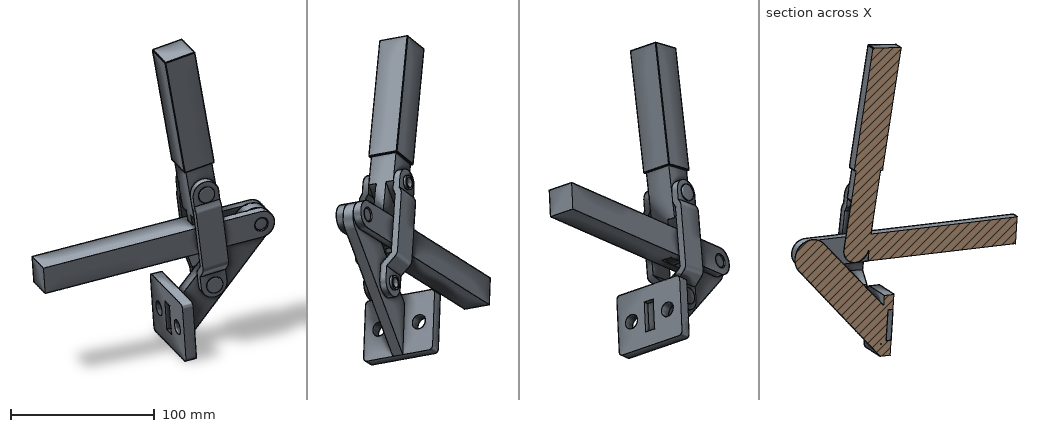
import cadquery as cq
import math


BASE_TILT = 3.85
LINK_TILT = 6.75
HANDLE_TILT = 9.5

PLATE_WIDTH = 56.0
PLATE_HEIGHT = 45.0
PLATE_THICKNESS = 8.0
PLATE_CORNER_RADIUS = 3.0
PLATE_BACK_Y = -62.5
PLATE_BOTTOM_Z = -81.7
MOUNT_HOLE_DIAMETER = 10.5
MOUNT_HOLE_SPACING = 32.0
SLOT_LENGTH = 22.5
SLOT_DEPTH = 4.0
WEB_THICKNESS = 8.0
WEB_NOSE_RADIUS = 13.0
WEB_NOSE_Y = -2.5
WEB_NOSE_Z = -2.2
WEB_EDGE_ANGLE = 45.0
LINK_PIVOT_Y = -38.0
LINK_PIVOT_Z = -37.6

BAR_SIZE = 20.0
ARM_LENGTH = 165.0
ARM_SLOT_LENGTH = 48.0
PIN_RECESS_RADIUS = 5.2
PIN_RADIUS = 4.5
PIN_RECESS_DEPTH = 0.7

LINK_LENGTH = 75.0
STRAP_WIDTH = 19.5
STRAP_THICKNESS = 5.0
STRAP_MIDDLE_X = 12.0
STRAP_LOWER_BEND = 9.0
STRAP_UPPER_BEND = 7.0
LOWER_BEND_ANGLE = 45.0
UPPER_BEND_ANGLE = 30.0
BEND_OUTER_RADIUS = 6.0

RIVET_RADIUS = 5.0
RIVET_PROJECTION = 2.0
RIVET_CONE_RADIUS = 3.6
RIVET_CONE_DEPTH = 3.6
RIVET_HEAD_RADIUS = 6.0
RIVET_HEAD_ROUNDING = 0.7

SHOULDER_FRONT_DROP = 18.7
SHOULDER_BACK_DROP = 2.0
GRIP_START = 19.7
GRIP_LENGTH = 90.0
GRIP_SIZE = 23.0
GRIP_CHAMFER = 0.5
TONGUE_THICKNESS = WEB_THICKNESS


def tilt(body, angle):
    """Turn a body nose-down about the X axis through the origin."""
    return body.rotate((0, 0, 0), (1, 0, 0), angle)


def tilted_point(y, z, angle):
    """World (y, z) of a point given in a tilted frame."""
    a = math.radians(angle)
    return y * math.cos(a) - z * math.sin(a), y * math.sin(a) + z * math.cos(a)


def block(width, y_min, y_max, z_min, z_max):
    """Box centred on X = 0."""
    return (
        cq.Workplane("XY")
        .box(width, y_max - y_min, z_max - z_min, centered=(True, False, False))
        .translate((0, y_min, z_min))
    )


def cylinder(radius, x_min, x_max, y=0.0, z=0.0):
    """Cylinder along X."""
    return cq.Workplane("YZ", origin=(x_min, 0, 0)).center(y, z).circle(radius).extrude(x_max - x_min)


def cone(radius_start, radius_end, x_start, depth):
    """Cone or frustum along X about the origin axis; depth may be negative."""
    axis = cq.Vector(math.copysign(1, depth), 0, 0)
    solid = cq.Solid.makeCone(radius_start, radius_end, abs(depth), cq.Vector(x_start, 0, 0), axis)
    return cq.Workplane(obj=solid)


def make_plate():
    """Flange plate with two mounting holes and a blind slot in its front face."""
    center_z = PLATE_BOTTOM_Z + PLATE_HEIGHT / 2
    front_y = PLATE_BACK_Y - PLATE_THICKNESS
    plate = block(PLATE_WIDTH, front_y, PLATE_BACK_Y, PLATE_BOTTOM_Z, PLATE_BOTTOM_Z + PLATE_HEIGHT)
    plate = plate.edges("|Y").fillet(PLATE_CORNER_RADIUS)
    holes = (
        cq.Workplane("XZ", origin=(0, PLATE_BACK_Y, center_z))
        .pushPoints([(-MOUNT_HOLE_SPACING / 2, 0), (MOUNT_HOLE_SPACING / 2, 0)])
        .circle(MOUNT_HOLE_DIAMETER / 2)
        .extrude(PLATE_THICKNESS)
    )
    slot = block(
        WEB_THICKNESS, front_y, front_y + SLOT_DEPTH, center_z - SLOT_LENGTH / 2, center_z + SLOT_LENGTH / 2
    )
    return plate.cut(holes).cut(slot)


def make_web():
    """Slanted band with a round nose at the rear, ending on the back of the plate."""
    a = math.radians(WEB_EDGE_ANGLE)
    offset_y = WEB_NOSE_RADIUS * math.sin(a)
    offset_z = WEB_NOSE_RADIUS * math.cos(a)
    top = (WEB_NOSE_Y - offset_y, WEB_NOSE_Z + offset_z)
    bottom = (WEB_NOSE_Y + offset_y, WEB_NOSE_Z - offset_z)
    nose = (WEB_NOSE_Y + WEB_NOSE_RADIUS * math.cos(a), WEB_NOSE_Z + WEB_NOSE_RADIUS * math.sin(a))
    plate_top_z = top[1] + (PLATE_BACK_Y - top[0]) * math.tan(a)
    return (
        cq.Workplane("YZ", origin=(-WEB_THICKNESS / 2, 0, 0))
        .moveTo(*top)
        .threePointArc(nose, bottom)
        .lineTo(PLATE_BACK_Y, PLATE_BOTTOM_Z)
        .lineTo(PLATE_BACK_Y, plate_top_z)
        .close()
        .extrude(WEB_THICKNESS)
    )


def make_arm():
    """Square arm with a round rear end, forked to take the web and the handle tongue."""
    half = BAR_SIZE / 2
    arm = block(BAR_SIZE, -ARM_LENGTH, 0, -half, half).union(cylinder(half, -half, half))
    arm = arm.cut(block(TONGUE_THICKNESS, -ARM_SLOT_LENGTH, half, -half, half))
    for side in (-1, 1):
        arm = arm.cut(cone(PIN_RECESS_RADIUS, PIN_RADIUS, side * half, -side * PIN_RECESS_DEPTH))
    return arm


def make_handle():
    """Handle in its own upright frame, with the upper pivot at the origin."""
    half = BAR_SIZE / 2
    bar = (
        cq.Workplane("YZ", origin=(-half, 0, 0))
        .moveTo(-half, GRIP_START)
        .lineTo(-half, -SHOULDER_FRONT_DROP)
        .lineTo(half, -SHOULDER_BACK_DROP)
        .lineTo(half, GRIP_START)
        .close()
        .extrude(BAR_SIZE)
    )
    grip = block(GRIP_SIZE, -GRIP_SIZE / 2, GRIP_SIZE / 2, GRIP_START, GRIP_START + GRIP_LENGTH)
    grip = grip.edges().chamfer(GRIP_CHAMFER)
    return bar.union(grip)


def make_tongue(drop):
    """Tongue down from the upper pivot, rounded about a point on the arm's centre line."""
    half = BAR_SIZE / 2
    straight = block(TONGUE_THICKNESS, -half, half, -drop, 0)
    return straight.union(cylinder(half, -TONGUE_THICKNESS / 2, TONGUE_THICKNESS / 2, 0, -drop))


def make_strap():
    """Strap on the +X side, in its own upright frame with the lower pivot at the origin."""
    half = STRAP_WIDTH / 2
    lower_x = WEB_THICKNESS / 2
    upper_x = BAR_SIZE / 2
    outer_x = STRAP_MIDDLE_X + STRAP_THICKNESS
    lower_slope = math.tan(math.radians(LOWER_BEND_ANGLE))
    upper_slope = math.tan(math.radians(UPPER_BEND_ANGLE))
    lower_shift = STRAP_THICKNESS * math.tan(math.radians(LOWER_BEND_ANGLE / 2))
    upper_shift = STRAP_THICKNESS * math.tan(math.radians(UPPER_BEND_ANGLE / 2))
    lower_outer_z = STRAP_LOWER_BEND + (STRAP_MIDDLE_X - lower_x) / lower_slope
    upper_bend_z = LINK_LENGTH - STRAP_UPPER_BEND
    upper_outer_z = upper_bend_z - (STRAP_MIDDLE_X - upper_x) / upper_slope
    profile = (
        cq.Workplane("XZ", origin=(0, half, 0))
        .moveTo(lower_x, -half)
        .lineTo(lower_x + STRAP_THICKNESS, -half)
        .lineTo(lower_x + STRAP_THICKNESS, STRAP_LOWER_BEND)
        .lineTo(outer_x, lower_outer_z)
        .lineTo(outer_x, upper_outer_z)
        .lineTo(upper_x + STRAP_THICKNESS, upper_bend_z)
        .lineTo(upper_x + STRAP_THICKNESS, LINK_LENGTH + half)
        .lineTo(upper_x, LINK_LENGTH + half)
        .lineTo(upper_x, upper_bend_z - upper_shift)
        .lineTo(STRAP_MIDDLE_X, upper_outer_z - upper_shift)
        .lineTo(STRAP_MIDDLE_X, lower_outer_z + lower_shift)
        .lineTo(lower_x, STRAP_LOWER_BEND + lower_shift)
        .close()
    )
    strap = profile.extrude(STRAP_WIDTH)
    for bend_z in (lower_outer_z, upper_outer_z):
        bend_edge = cq.selectors.NearestToPointSelector((outer_x, 0, bend_z))
        strap = strap.edges(bend_edge).fillet(BEND_OUTER_RADIUS)
    outline = block(2 * outer_x, -half, half, 0, LINK_LENGTH)
    for pivot_z in (0, LINK_LENGTH):
        outline = outline.union(cylinder(half, -outer_x, outer_x, 0, pivot_z))
    return strap.intersect(outline)


def add_rivet(link, strap_outer_x, pivot_z):
    """Add a rivet along X: a plain end with a conical recess on -X and a rounded head on +X."""
    end_x = strap_outer_x + RIVET_PROJECTION
    shank = cylinder(RIVET_RADIUS, -end_x, strap_outer_x, 0, pivot_z)
    head = cylinder(RIVET_HEAD_RADIUS, strap_outer_x, end_x, 0, pivot_z).edges().fillet(RIVET_HEAD_ROUNDING)
    recess = cone(RIVET_CONE_RADIUS, 0, -end_x, RIVET_CONE_DEPTH).translate((0, 0, pivot_z))
    return link.union(shank).union(head).cut(recess)


lower_y, lower_z = tilted_point(LINK_PIVOT_Y, LINK_PIVOT_Z, BASE_TILT)
link_y, link_z = tilted_point(0, LINK_LENGTH, LINK_TILT)
upper_y = lower_y + link_y
upper_z = lower_z + link_z

handle_rad = math.radians(HANDLE_TILT)
arm_slope = math.tan(math.radians(BASE_TILT))
tongue_drop = (upper_z - upper_y * arm_slope) / (math.cos(handle_rad) + math.sin(handle_rad) * arm_slope)

base_and_arm = tilt(make_plate().union(make_web()).union(make_arm()), BASE_TILT)
handle = tilt(make_handle().union(make_tongue(tongue_drop)), HANDLE_TILT).translate((0, upper_y, upper_z))

right_strap = make_strap()
link = right_strap.union(right_strap.mirror("YZ"))
link = add_rivet(link, WEB_THICKNESS / 2 + STRAP_THICKNESS, 0)
link = add_rivet(link, BAR_SIZE / 2 + STRAP_THICKNESS, LINK_LENGTH)
link = tilt(link, LINK_TILT).translate((0, lower_y, lower_z))

result = base_and_arm.union(handle).union(link)